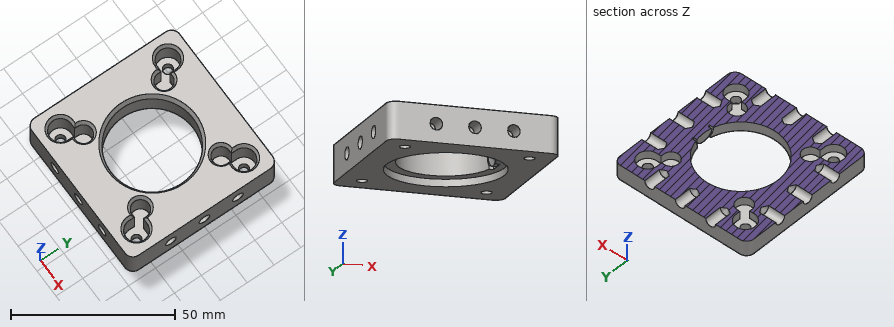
import cadquery as cq
import math

side = 55.0
thickness = 12.0
corner_radius = 3.0

bore_radius = 15.3
bore_chamfer_width = 1.0
bore_chamfer_height = 1.7
counterbore_radius = 19.0
counterbore_depth = 2.35

groove_outer_radius = 3.95
pad_radius = 3.4
groove_depth = 1.1
bridge_width = 4.2
outlet_width = 5.95

large_offset = 20.0
large_radius = 4.75
small_offset = 15.0
small_radius = 3.9
pocket_depth = 9.0
pocket_chamfer_width = 0.8
pocket_chamfer_height = 1.4
screw_hole_diameter = 3.4

side_hole_diameter = 3.95
side_hole_spacing = 12.5
side_hole_depth = 6.6
drill_point_angle = 118.0


def make_plate():
    plate = cq.Workplane("XY").box(side, side, thickness, centered=(True, True, False))
    return plate.edges("|Z").fillet(corner_radius)


def bore_cutter():
    """Counterbore, bore and top chamfer as one turned shape."""
    top_radius = bore_radius + bore_chamfer_width
    return (
        cq.Workplane("XZ")
        .lineTo(counterbore_radius, 0)
        .lineTo(counterbore_radius, counterbore_depth)
        .lineTo(bore_radius, counterbore_depth)
        .lineTo(bore_radius, thickness - bore_chamfer_height)
        .lineTo(top_radius, thickness)
        .lineTo(0, thickness)
        .close()
        .revolve(360, (0, 0, 0), (0, 1, 0))
    )


def groove_cutter():
    """Ring groove with an outlet below it; the pad and the bridge above the pad stay uncut."""
    reach = bore_radius + groove_depth
    wall = cq.Workplane("YZ", origin=(0, 0, thickness / 2))
    disc = wall.circle(groove_outer_radius).extrude(reach)
    outlet = wall.center(0, -thickness / 4).rect(outlet_width, thickness / 2).extrude(reach)
    pad = wall.circle(pad_radius).extrude(reach)
    bridge = wall.center(0, thickness / 4).rect(bridge_width, thickness / 2).extrude(reach)
    return disc.union(outlet).cut(pad).cut(bridge)


def add_pocket_outline(plane, inset):
    """Keyhole outline in the +X +Y corner; tangents of the two rounds meet at the neck corners."""
    large = large_radius - inset
    small = small_radius - inset
    large_diagonal = large_offset + large * math.sqrt(0.5)
    small_diagonal = small_offset - small * math.sqrt(0.5)
    return (
        plane.moveTo(large_offset, large_offset - large)
        .threePointArc((large_diagonal, large_diagonal), (large_offset - large, large_offset))
        .lineTo(large_offset - large, small_offset + small)
        .lineTo(small_offset, small_offset + small)
        .threePointArc((small_diagonal, small_diagonal), (small_offset + small, small_offset))
        .lineTo(small_offset + small, large_offset - large)
        .close()
    )


def pocket_cutter():
    """Keyhole pocket with a sloped rim, plus the screw hole through its floor."""
    floor = thickness - pocket_depth
    rim = thickness - pocket_chamfer_height
    pocket = add_pocket_outline(cq.Workplane("XY", origin=(0, 0, floor)), pocket_chamfer_width)
    pocket = pocket.extrude(rim - floor)
    flare = add_pocket_outline(cq.Workplane("XY", origin=(0, 0, rim)), pocket_chamfer_width)
    flare = flare.workplane(offset=pocket_chamfer_height, origin=(0, 0, rim))
    flare = add_pocket_outline(flare, 0).loft(ruled=True)
    screw_hole = (
        cq.Workplane("XY")
        .center(large_offset, large_offset)
        .circle(screw_hole_diameter / 2)
        .extrude(thickness)
    )
    return pocket.union(flare).union(screw_hole)


def side_hole_cutter():
    """Row of three holes with conical bottoms, drilled from the -Y face toward +Y."""
    radius = side_hole_diameter / 2
    point_length = radius / math.tan(math.radians(drill_point_angle / 2))
    drill = (
        cq.Workplane("XY")
        .lineTo(radius, 0)
        .lineTo(radius, side_hole_depth)
        .lineTo(0, side_hole_depth + point_length)
        .close()
        .revolve(360, (0, 0, 0), (0, 1, 0))
    )
    row = cq.Workplane("XY")
    for index in (-1, 0, 1):
        row = row.add(drill.translate((index * side_hole_spacing, -side / 2, thickness / 2)))
    return row.combine()


result = make_plate().cut(bore_cutter()).cut(groove_cutter())
pocket = pocket_cutter()
side_holes = side_hole_cutter()
for quarter_turn in range(4):
    angle = 90 * quarter_turn
    result = result.cut(pocket.rotate((0, 0, 0), (0, 0, 1), angle))
    result = result.cut(side_holes.rotate((0, 0, 0), (0, 0, 1), angle))